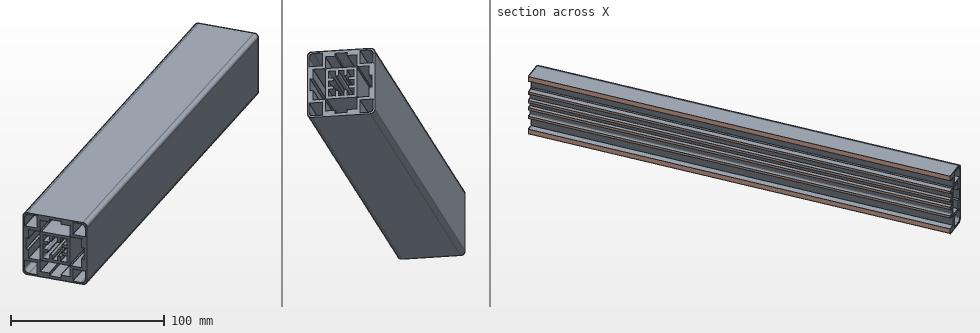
import cadquery as cq

length = 300.0
width = 45.0
outer_radius = 3.0

skin = 1.1
web = 2.0
tube_radius = 3.0

core_width = 21.0
channel_wall = 4.0
relief_wall = 1.95
relief_width = 8.0
neck_chamfer = 0.75

bore_width = core_width - 2 * web
bore_radius = 0.3
fin_offset = 2.85
fin_width = 2.0
fin_tip = 4.8

half_width = width / 2
half_core = core_width / 2
half_bore = bore_width / 2
side_angles = (0, 90, 180, 270)


def prism(sketch):
    """Extrude an XZ sketch along the whole bar, centred on Y = 0."""
    return sketch.extrude(length / 2, both=True)


def section(x=0.0, z=0.0):
    """Start a sketch in the XZ cross-section plane, centred on (x, z)."""
    return cq.Workplane("XZ").center(x, z)


def on_each_side(shape):
    """Copy a shape made for the +Z side onto all four sides."""
    copies = cq.Workplane("XZ")
    for angle in side_angles:
        copies = copies.add(shape.rotate((0, 0, 0), (0, 1, 0), angle))
    return copies.combine()


def corner_tube():
    """Square hole in the +X +Z corner, rounded next to the bar's outer edge."""
    inner = half_core + web
    outer = half_width - skin
    middle = (inner + outer) / 2
    size = outer - inner
    return prism(section(middle, middle).rect(size, size)).edges("|Y and >X and >Z").fillet(tube_radius)


def side_channel():
    """Closed channel on the +Z side of the core with a shallow relief in its outer wall."""
    top = half_width - channel_wall
    relief_top = half_width - relief_wall
    channel = prism(section(0, (half_core + top) / 2).rect(core_width, top - half_core))
    channel = channel.edges("|Y and <Z").chamfer(neck_chamfer)
    relief = prism(section(0, (half_core + relief_top) / 2).rect(relief_width, relief_top - half_core))
    return channel.union(relief)


def fin(x):
    """Round-tipped fin hanging into the bore from its +Z wall."""
    tip_radius = fin_width / 2
    tip_centre = fin_tip + tip_radius
    return prism(
        section()
        .moveTo(x - tip_radius, half_bore)
        .lineTo(x - tip_radius, tip_centre)
        .threePointArc((x, fin_tip), (x + tip_radius, tip_centre))
        .lineTo(x + tip_radius, half_bore)
        .close()
    )


bar = prism(section().rect(width, width)).edges("|Y").fillet(outer_radius)

bore = prism(section().rect(bore_width, bore_width)).edges("|Y").fillet(bore_radius)
fins = on_each_side(fin(-fin_offset).union(fin(fin_offset)))
bore = bore.cut(fins)

result = bar.cut(on_each_side(corner_tube())).cut(on_each_side(side_channel())).cut(bore)